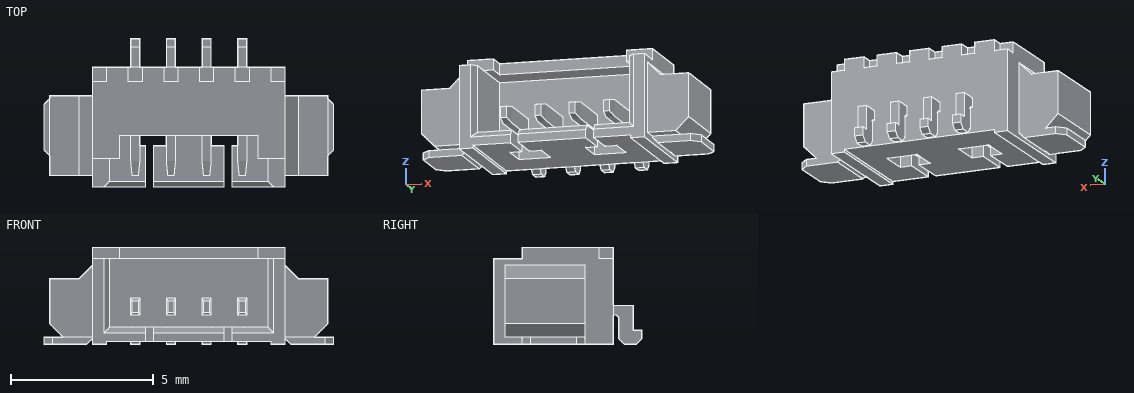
import cadquery as cq


housing_width = 6.75
housing_depth = 4.2
housing_height = 3.4
roof_thickness = 0.4
wall_top = housing_height - roof_thickness
side_wall = 0.6
floor_top = 0.6
cavity_depth = 3.0
mouth_chamfer = 0.2
foot_width = 0.5
foot_height = 0.1

roof_setback = 1.0
roof_window_width = 4.85
roof_window_depth = 1.8
notch_size = 0.5

pin_count = 4
pin_pitch = 1.25
pin_width = 0.32
pin_bottom = 1.02
pin_top = 1.62
pin_front = 0.4
pin_tip_length = 0.5
pin_tip_taper = 0.05
pin_tip_bevel = 0.1
pin_positions = [(i - (pin_count - 1) / 2) * pin_pitch for i in range(pin_count)]

tail_embed = 0.2
tail_reach = 1.0
tail_top = 1.37
tail_leg_inner = 0.18
tail_leg_outer = 0.7
tail_toe_height = 0.5
tail_corner = 0.2
tail_bend_corner = 0.08

slot_position = 1.375
slot_width = 0.28
slot_wide_width = 1.15
slot_wide_start = 1.45
slot_end = 2.6

ear_reach = 1.5
ear_front = 0.4
ear_depth = 2.8
ear_bottom = 0.25
ear_top = 2.3
ear_slope = 0.475

tab_reach = 1.7
tab_front = 1.0
tab_depth = 2.2
tab_thickness = ear_bottom
tab_corner = 0.3
tab_root_bevel = 0.2


def block(x_min, x_max, y_min, y_max, z_min, z_max):
    """Box given by its limits along each axis."""
    size = (x_max - x_min, y_max - y_min, z_max - z_min)
    return cq.Workplane("XY").box(*size, centered=False).translate((x_min, y_min, z_min))


def centred_block(x_centre, width, y_min, y_max, z_min, z_max):
    """Box centred on x_centre, given by its limits along Y and Z."""
    return block(x_centre - width / 2, x_centre + width / 2, y_min, y_max, z_min, z_max)


def make_cavity():
    """Mating cavity, flared at the mouth along the floor and both side walls."""
    width = housing_width - 2 * side_wall
    cavity = centred_block(0, width, 0, cavity_depth, floor_top, wall_top)
    flare = (
        cq.Workplane("XZ")
        .rect(width + 2 * mouth_chamfer, 2 * (wall_top - floor_top + mouth_chamfer))
        .workplane(offset=-mouth_chamfer)
        .rect(width, 2 * (wall_top - floor_top))
        .loft(ruled=True)
        .translate((0, 0, wall_top))
    )
    below_roof = centred_block(0, housing_width, 0, housing_depth, 0, wall_top)
    return cavity.union(flare.intersect(below_roof))


def make_floor_slot(x_centre):
    """T-shaped slot through the floor, open at the mouth."""
    stem = centred_block(x_centre, slot_width, 0, slot_wide_start, 0, floor_top)
    head = centred_block(x_centre, slot_wide_width, slot_wide_start, slot_end, 0, floor_top)
    return stem.union(head)


def make_housing():
    housing = centred_block(0, housing_width, 0, housing_depth, 0, housing_height)
    housing = housing.cut(make_cavity())
    gap_width = housing_width - 2 * foot_width
    housing = housing.cut(centred_block(0, gap_width, 0, housing_depth, 0, foot_height))
    housing = housing.cut(centred_block(0, housing_width, 0, roof_setback, wall_top, housing_height))
    housing = housing.cut(centred_block(0, roof_window_width, 0, roof_window_depth, wall_top, housing_height))
    corner = (housing_width - notch_size) / 2
    notch_front = housing_depth - notch_size
    for x in [-corner, *pin_positions, corner]:
        notch = centred_block(x, notch_size, notch_front, housing_depth, wall_top, housing_height)
        housing = housing.cut(notch)
    for x in (-slot_position, slot_position):
        housing = housing.cut(make_floor_slot(x))
    return housing


def make_pin(x_centre):
    """Contact pin with a tapered tip in the cavity and a stepped solder tail at the back."""
    height = pin_top - pin_bottom
    shank_front = pin_front + pin_tip_length
    shank = centred_block(0, pin_width, shank_front, housing_depth - tail_embed, pin_bottom, pin_top)
    tip = (
        cq.Workplane("XZ", origin=(0, pin_front, (pin_bottom + pin_top) / 2))
        .rect(pin_width - 2 * pin_tip_taper, height - 2 * pin_tip_bevel)
        .workplane(offset=-pin_tip_length)
        .rect(pin_width, height)
        .loft(ruled=True)
    )
    tail = (
        cq.Workplane("YZ", origin=(-pin_width / 2, housing_depth, 0))
        .moveTo(-tail_embed, tail_top)
        .lineTo(tail_leg_outer, tail_top)
        .lineTo(tail_leg_outer, tail_toe_height)
        .lineTo(tail_reach, tail_toe_height)
        .lineTo(tail_reach, tail_corner)
        .lineTo(tail_reach - tail_corner, 0)
        .lineTo(tail_leg_inner + tail_corner, 0)
        .lineTo(tail_leg_inner, tail_corner)
        .lineTo(tail_leg_inner, pin_bottom - tail_bend_corner)
        .lineTo(tail_leg_inner - tail_bend_corner, pin_bottom)
        .lineTo(-tail_embed, pin_bottom)
        .close()
        .extrude(pin_width)
    )
    return shank.union(tip).union(tail).translate((x_centre, 0, 0))


def make_ear():
    """Ear and solder tab on the +X side."""
    wall = housing_width / 2
    outer = wall + ear_reach
    ear = (
        cq.Workplane("XZ", origin=(0, ear_front, 0))
        .moveTo(wall, ear_bottom)
        .lineTo(outer - ear_slope, ear_bottom)
        .lineTo(outer, ear_bottom + ear_slope)
        .lineTo(outer, ear_top)
        .lineTo(wall + ear_slope, ear_top)
        .lineTo(wall, ear_top + ear_slope)
        .close()
        .extrude(-ear_depth)
    )
    tab = block(wall, wall + tab_reach, tab_front, tab_front + tab_depth, 0, tab_thickness)
    tab = tab.edges("|Z and >X").chamfer(tab_corner)
    tab = tab.edges("|Y and <X and <Z").chamfer(tab_root_bevel)
    return ear.union(tab)


result = make_housing()
for pin_x in pin_positions:
    result = result.union(make_pin(pin_x))
ear_right = make_ear()
result = result.union(ear_right).union(ear_right.mirror("YZ"))